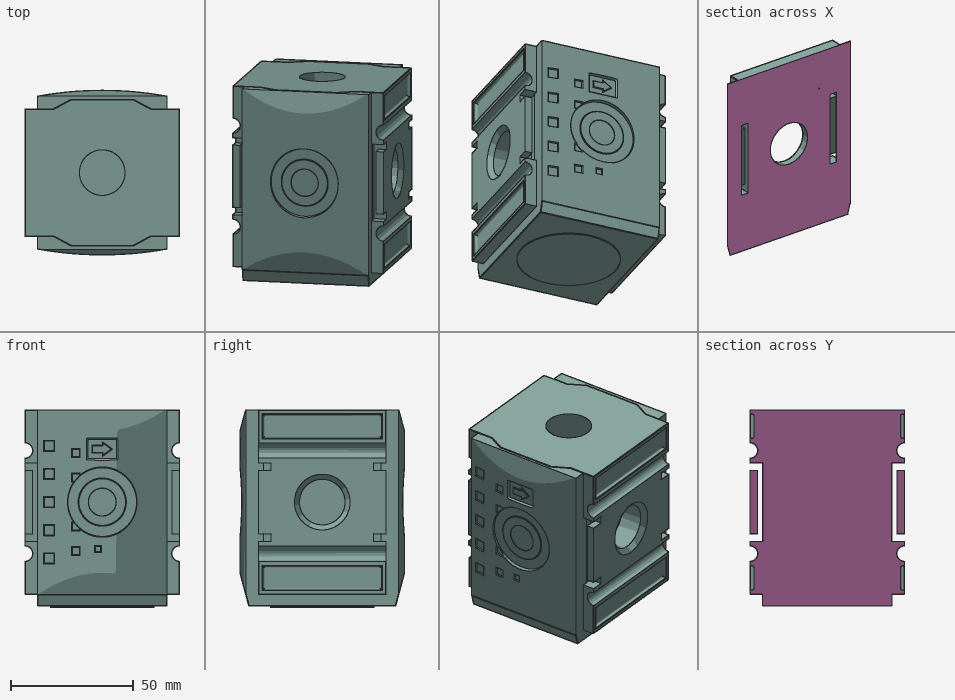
import cadquery as cq
import math


core_width = 63.0
core_depth = 52.0
core_half_height = 37.6
core_bump_depth = 59.7
bump_crest_half = 12.7
bump_foot_half = 19.9
edge_break = 0.25
clearance = 0.8

housing_width = 52.8
dome_depth = 67.1
dome_edge_depth = 62.3
end_depth = 62.5
end_taper = math.tan(math.radians(15))

skirt_height = 4.8
foot_diameter = 42.3
overall_height = 80.5
skirt_bottom = -core_half_height - skirt_height
foot_bottom = core_half_height - overall_height

groove_z = 21.0
groove_radius = 3.1
pad_bottom = groove_z - groove_radius
waist_half_height = 16.0
waist_depth = 47.8
flange_half_height = 13.0
flange_thickness = 3.1
notch_depth = 5.2
notch_end_depth = 41.7
window_length = 48.95
window_height = 10.2
window_z = 30.9
window_depth = 1.6
window_floor_fillet = 0.7

port_diameter = 18.6
port_mouth_diameter = 22.7
port_mouth_depth = 2.0
side_port_depth = 11.5
top_port_depth = 16.1

recess_floor_diameter = 28.0
recess_rim_diameter = 28.65
recess_floor_y = 32.2
button_base_diameter = 19.65
button_top_diameter = 19.0
button_height = 0.25
dimple_diameter = 11.4
dimple_floor_diameter = 11.3
dimple_depth = 0.2

pocket_depth = 0.5
pocket_draft = 35
large_pocket = 4.5
large_pocket_x = -21.65
large_pocket_pitch = 11.47
medium_pocket = 3.6
medium_pocket_x = -10.8
medium_pocket_pitch = 10.0
small_pocket = 2.8
small_pocket_x = -1.7
small_pocket_z = -19.15

panel_width = 13.05
panel_height = 9.1
panel_z = 21.6
panel_depth = 0.8
panel_draft = 40
panel_corner = 0.65
arrow_half_length = 4.2
arrow_shaft_half = 1.6
arrow_head_half = 3.0
arrow_height = 0.3
arrow_draft = 40


def box(width, depth, z_low, z_high):
    """Box centred on the Z axis between two heights."""
    return cq.Workplane("XY").workplane(offset=z_low).rect(width, depth).extrude(z_high - z_low)


def frustum(y_low, low_diameter, y_high, high_diameter):
    """Round cone along Y, between two distances in front of the centre plane."""
    outline = [(0, -y_low), (low_diameter / 2, -y_low), (high_diameter / 2, -y_high), (0, -y_high)]
    return cq.Workplane("XY").polyline(outline).close().revolve(360, (0, 0, 0), (0, 1, 0))


def on_both_sides(shape, plane):
    """Shape joined with its mirror image."""
    return shape.union(shape.mirror(plane))


def domed_prism(inset=0):
    """Prism with domed front and back, as tall as the core."""
    half_width = housing_width / 2
    edge_y = dome_edge_depth / 2 - inset
    crest_y = dome_depth / 2 - inset
    return (
        cq.Workplane("XY")
        .workplane(offset=-core_half_height)
        .moveTo(-half_width, -edge_y)
        .threePointArc((0, -crest_y), (half_width, -edge_y))
        .lineTo(half_width, edge_y)
        .threePointArc((0, crest_y), (-half_width, edge_y))
        .close()
        .extrude(2 * core_half_height)
    )


def front_plane(x, z, lift):
    """Plane touching the front dome at X and Z, facing outwards and lifted off it."""
    sagitta = (dome_depth - dome_edge_depth) / 2
    radius = ((housing_width / 2) ** 2 + sagitta ** 2) / (2 * sagitta)
    angle = math.asin(x / radius)
    sine = math.sin(angle)
    cosine = math.cos(angle)
    axis_y = radius - dome_depth / 2
    reach = radius + lift
    return cq.Plane(
        origin=(reach * sine, axis_y - reach * cosine, z),
        xDir=(cosine, sine, 0),
        normal=(sine, -cosine, 0),
    )


def make_housing():
    end_y = end_depth / 2
    rise = dome_depth / 2 - end_y + clearance
    shoulder_y = end_y + rise
    shoulder_z = core_half_height - rise / end_taper
    side_profile = (
        cq.Workplane("YZ")
        .polyline([
            (-end_y, -core_half_height),
            (end_y, -core_half_height),
            (shoulder_y, -shoulder_z),
            (shoulder_y, shoulder_z),
            (end_y, core_half_height),
            (-end_y, core_half_height),
            (-shoulder_y, shoulder_z),
            (-shoulder_y, -shoulder_z),
        ])
        .close()
        .extrude(housing_width / 2, both=True)
    )
    return domed_prism().intersect(side_profile)


def make_skirt():
    top_y = end_depth / 2
    bottom_y = top_y - skirt_height * end_taper
    skirt = (
        cq.Workplane("YZ")
        .polyline([
            (-top_y, -core_half_height),
            (top_y, -core_half_height),
            (bottom_y, skirt_bottom),
            (-bottom_y, skirt_bottom),
        ])
        .close()
        .extrude(housing_width / 2, both=True)
    )
    bottom_edges = "<Z"
    front_and_back_rims = "(>Z and |X)"
    corner_edges = "(not (|X or |Y))"
    skirt = skirt.edges(f"{bottom_edges} or {front_and_back_rims} or {corner_edges}").chamfer(edge_break)
    foot = (
        cq.Workplane("XY")
        .workplane(offset=foot_bottom)
        .circle(foot_diameter / 2)
        .extrude(skirt_bottom - foot_bottom)
    )
    return skirt.union(foot)


def core_prism():
    """Core block with a flat-topped bump on the front and on the back."""
    x = core_width / 2
    y = core_depth / 2
    bump_y = core_bump_depth / 2
    front = [
        (-x, -y),
        (-bump_foot_half, -y),
        (-bump_crest_half, -bump_y),
        (bump_crest_half, -bump_y),
        (bump_foot_half, -y),
        (x, -y),
    ]
    back = [(-px, -py) for px, py in front]
    return (
        cq.Workplane("XY")
        .workplane(offset=-core_half_height)
        .polyline(front + back)
        .close()
        .extrude(2 * core_half_height)
    )


def break_core_edges(core):
    core = core.edges("(|Z and <X) or (|Z and >X)").chamfer(edge_break)
    core = core.faces(">Z").edges().chamfer(edge_break)
    core = core.faces("<X or >X").edges("<Z").chamfer(edge_break)
    return core.union(box(core_width, core_depth, -pad_bottom, pad_bottom))


def waist_cuts():
    """Material removed beside the housing at mid height, leaving a thin flange on each side."""
    full_depth = core_depth + clearance
    ring = box(core_width, full_depth, -waist_half_height, waist_half_height)
    ring = ring.cut(box(core_width, waist_depth, -waist_half_height, waist_half_height))
    ring = ring.cut(box(housing_width, full_depth, -waist_half_height, waist_half_height))

    notches = box(core_width, waist_depth, -waist_half_height, waist_half_height)
    notches = notches.cut(box(core_width, notch_end_depth, -waist_half_height, waist_half_height))
    notches = notches.cut(
        box(core_width - 2 * notch_depth, full_depth, -waist_half_height, waist_half_height)
    )

    flanges = box(core_width, core_depth, -flange_half_height, flange_half_height)
    flanges = flanges.cut(
        box(core_width - 2 * flange_thickness, full_depth, -flange_half_height, flange_half_height)
    )
    return ring.union(notches).cut(flanges)


def groove_cuts():
    return (
        cq.Workplane("XZ")
        .pushPoints([(x, z) for x in (-core_width / 2, core_width / 2) for z in (-groove_z, groove_z)])
        .circle(groove_radius)
        .extrude(core_depth / 2, both=True)
    )


def window_cuts():
    """Shallow windows above and below the grooves, with a bevelled rim and a rounded floor edge."""
    centres = [(0, -window_z), (0, window_z)]
    windows = cq.Workplane("YZ").workplane(offset=-core_width / 2).pushPoints(centres)
    well_length = window_length - 2 * edge_break
    well_height = window_height - 2 * edge_break
    rims = windows.rect(window_length, window_height).extrude(edge_break, taper=45)
    wells = windows.rect(well_length, well_height).extrude(window_depth)
    wells = wells.faces(">X").edges().fillet(window_floor_fillet)
    return on_both_sides(rims.union(wells), "YZ")


def port_cuts():
    top_port = (
        cq.Workplane("XY")
        .workplane(offset=core_half_height)
        .circle(port_diameter / 2)
        .extrude(-top_port_depth)
    )
    mouth_x = -core_width / 2
    bottom_x = mouth_x + side_port_depth
    throat_x = mouth_x + port_mouth_depth
    side_port = (
        cq.Workplane("XY")
        .polyline([
            (mouth_x, 0),
            (mouth_x, port_mouth_diameter / 2),
            (throat_x, port_diameter / 2),
            (bottom_x, port_diameter / 2),
            (bottom_x, 0),
        ])
        .close()
        .revolve(360, (0, 0, 0), (1, 0, 0))
    )
    return top_port.union(on_both_sides(side_port, "YZ"))


def add_button(part):
    """Round recess on the front and back with a low, dimpled button on its floor."""
    crest_y = recess_floor_y + button_height
    recess = frustum(recess_floor_y, recess_floor_diameter, dome_depth / 2, recess_rim_diameter)
    button = frustum(recess_floor_y, button_base_diameter, crest_y, button_top_diameter)
    dimple = frustum(crest_y - dimple_depth, dimple_floor_diameter, crest_y, dimple_diameter)
    return part.cut(on_both_sides(recess.cut(button.cut(dimple)), "XZ"))


def drafted_tool(width, height, x, z, depth, draft):
    """Drafted rectangular cutter that has the given size where it enters the front dome."""
    widening = 2 * clearance * math.tan(math.radians(draft))
    return (
        cq.Workplane(front_plane(x, z, clearance))
        .rect(width + widening, height + widening)
        .extrude(-clearance - depth, taper=draft)
    )


def marker_pocket(size, x, z):
    """Square pocket whose floor follows the dome."""
    tool = drafted_tool(size, size, x, z, 2 * pocket_depth, pocket_draft)
    return tool.cut(domed_prism(inset=pocket_depth))


def cut_marker_pockets(part):
    large = [(large_pocket, large_pocket_x, row * large_pocket_pitch) for row in (-2, -1, 0, 1, 2)]
    medium = [(medium_pocket, medium_pocket_x, row * medium_pocket_pitch) for row in (-2, -1, 1, 2)]
    small = [(small_pocket, small_pocket_x, small_pocket_z)]
    for size, x, z in large + medium + small:
        part = part.cut(marker_pocket(size, x, z))
    return part


def add_arrow_panel(part):
    """Recessed panel with a raised arrow pointing to +X."""
    floor_y = dome_depth / 2 - panel_depth
    panel = drafted_tool(panel_width, panel_height, 0, panel_z, panel_depth, panel_draft)
    panel = panel.edges("not (|X or |Z)").fillet(panel_corner)
    arrow = (
        cq.Workplane("XZ", origin=(0, -floor_y, panel_z))
        .polyline([
            (-arrow_half_length, -arrow_shaft_half),
            (0, -arrow_shaft_half),
            (0, -arrow_head_half),
            (arrow_half_length, 0),
            (0, arrow_head_half),
            (0, arrow_shaft_half),
            (-arrow_half_length, arrow_shaft_half),
        ])
        .close()
        .extrude(arrow_height, taper=arrow_draft)
    )
    return part.cut(panel).union(arrow)


core = break_core_edges(core_prism())
core = core.cut(groove_cuts()).cut(window_cuts()).cut(waist_cuts())
housing = make_housing().cut(core_prism())
result = housing.union(core).union(make_skirt()).cut(port_cuts())
result = cut_marker_pockets(result)
result = add_button(result)
result = add_arrow_panel(result)